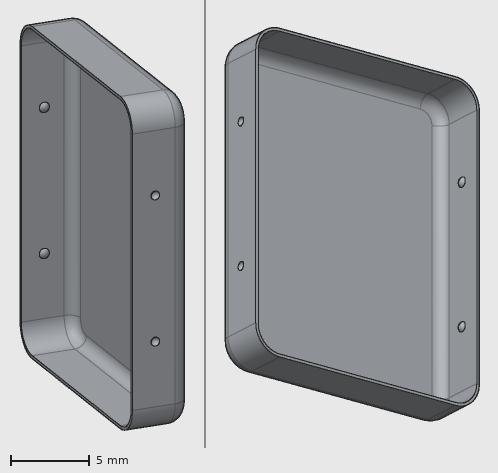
import cadquery as cq

width = 17.7
depth = 4.0
height = 22.7

wall = 0.2
corner_radius = 1.9
back_fillet = 1.0

dimple_radius = 0.3
bump_radius = 0.4
dimple_setback = 1.61
dimple_spacing = 9.99

rim_y = -depth / 2


def rounded_block(inset):
    """Solid starting at the rim, inset from the outer skin on its sides and back."""
    return (
        cq.Workplane("XY")
        .box(width - 2 * inset, depth - inset, height - 2 * inset)
        .translate((0, -inset / 2, 0))
        .edges("|Y")
        .fillet(corner_radius - inset)
        .faces(">Y")
        .edges()
        .fillet(back_fillet - inset)
    )


def inward_dome(radius, side, level):
    """Hemisphere with its flat on a side wall's outer face, bulging into the tray."""
    center = (side * width / 2, rim_y + dimple_setback, level * dimple_spacing / 2)
    inward = (-side, 0, 0)
    return (
        cq.Workplane("XY")
        .sphere(radius, direct=inward, angle1=0, angle2=90)
        .translate(center)
    )


outer = rounded_block(0)
result = outer.cut(rounded_block(wall))

for side in (-1, 1):
    for level in (-1, 1):
        result = result.union(inward_dome(bump_radius, side, level))
        result = result.cut(inward_dome(dimple_radius, side, level))